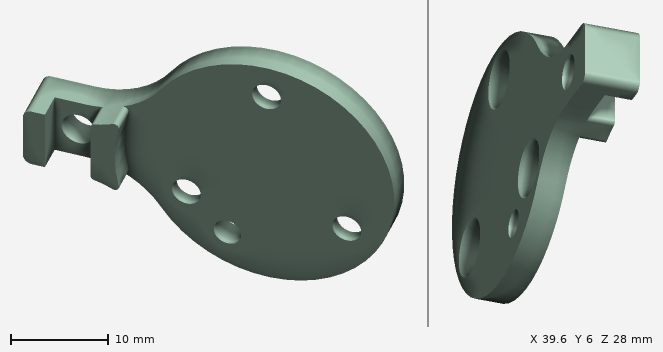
import cadquery as cq
import math

overall_length = 39.55
overall_depth = 6.0
plate_thickness = 3.05
disc_diameter = 27.95
tab_half_width = 3.52
tab_corner_radius = 1.0
neck_radius = 10.0

lip_length = 2.4
rib_start_offset = 7.4
rib_arc_radius = 15.55
rib_corner_radius = 0.5

mount_circle_radius = 10.12
mount_hole_diameter = 3.15
countersink_diameter = 6.33
countersink_depth = 1.6
mount_angles = (90, 210, 330)
extra_hole_x = -4.27
extra_hole_z = -9.2
extra_hole_diameter = 3.0
tab_hole_offset = 5.02
tab_hole_diameter = 3.7

disc_radius = disc_diameter / 2
tab_end_x = disc_radius - overall_length
rib_start_x = tab_end_x + rib_start_offset

neck_center_z = tab_half_width + neck_radius
neck_center_distance = disc_radius + neck_radius
neck_center_x = -math.sqrt(neck_center_distance**2 - neck_center_z**2)
disc_tangent_x = neck_center_x * disc_radius / neck_center_distance
disc_tangent_z = neck_center_z * disc_radius / neck_center_distance
neck_angle = (math.pi / 2 + math.atan2(neck_center_z, -neck_center_x)) / 2
neck_mid_x = neck_center_x + neck_radius * math.cos(neck_angle)
neck_mid_z = neck_center_z - neck_radius * math.sin(neck_angle)


def outline_prism(depth):
    """Disc, necks and tab extruded from the back face toward -Y."""
    return (
        cq.Workplane("XZ")
        .moveTo(tab_end_x, -tab_half_width)
        .lineTo(neck_center_x, -tab_half_width)
        .threePointArc((neck_mid_x, -neck_mid_z), (disc_tangent_x, -disc_tangent_z))
        .threePointArc((disc_radius, 0), (disc_tangent_x, disc_tangent_z))
        .threePointArc((neck_mid_x, neck_mid_z), (neck_center_x, tab_half_width))
        .lineTo(tab_end_x, tab_half_width)
        .close()
        .extrude(depth)
        .edges("|Y and <X")
        .fillet(tab_corner_radius)
    )


def slab(start_x, end_x):
    """Full-depth block between two X positions, spanning the part in Z."""
    return (
        cq.Workplane("XZ")
        .center((start_x + end_x) / 2, 0)
        .rect(end_x - start_x, 2 * disc_radius)
        .extrude(overall_depth)
    )


def through_holes(points, diameter):
    return cq.Workplane("XZ").pushPoints(points).circle(diameter / 2).extrude(overall_depth)


plate = outline_prism(plate_thickness)
full_depth_body = outline_prism(overall_depth)

lip = full_depth_body.intersect(slab(tab_end_x, tab_end_x + lip_length))

rib_clearance = cq.Workplane("XZ").circle(rib_arc_radius).extrude(overall_depth)
rib = full_depth_body.intersect(slab(rib_start_x, disc_tangent_x)).cut(rib_clearance)
rib = rib.edges("|Y").fillet(rib_corner_radius)

mount_points = [
    (
        mount_circle_radius * math.cos(math.radians(angle)),
        mount_circle_radius * math.sin(math.radians(angle)),
    )
    for angle in mount_angles
]
mount_holes = through_holes(mount_points, mount_hole_diameter)
countersinks = [
    cq.Workplane(
        cq.Solid.makeCone(
            countersink_diameter / 2,
            mount_hole_diameter / 2,
            countersink_depth,
            cq.Vector(x, 0, z),
            cq.Vector(0, -1, 0),
        )
    )
    for x, z in mount_points
]
extra_hole = through_holes([(extra_hole_x, extra_hole_z)], extra_hole_diameter)
tab_hole = through_holes([(tab_end_x + tab_hole_offset, 0)], tab_hole_diameter)

result = plate.union(lip).union(rib).cut(mount_holes).cut(extra_hole).cut(tab_hole)
for countersink in countersinks:
    result = result.cut(countersink)